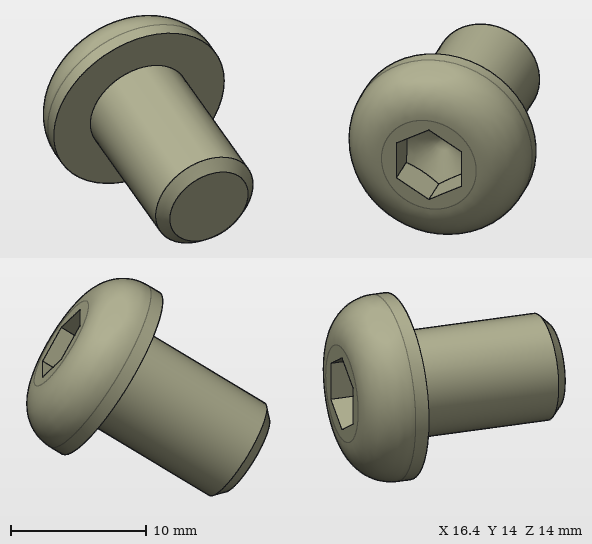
import cadquery as cq
import math

total_length = 16.4
head_diameter = 14.0
head_height = 4.4
head_round_radius = 3.35
shank_diameter = 8.0
tip_chamfer = 0.79

socket_across_flats = 5.0
socket_depth = 2.6
socket_cone_angle = 120.0

head_radius = head_diameter / 2
shank_radius = shank_diameter / 2
socket_corner_radius = socket_across_flats / math.sqrt(3)


def make_body():
    """Revolve the head and the shank about the X axis."""
    arc_offset = head_round_radius * math.sqrt(0.5)
    arc_middle = (
        head_round_radius - arc_offset,
        head_radius - head_round_radius + arc_offset,
    )
    profile = (
        cq.Workplane("XY")
        .lineTo(0, head_radius - head_round_radius)
        .threePointArc(arc_middle, (head_round_radius, head_radius))
        .lineTo(head_height, head_radius)
        .lineTo(head_height, shank_radius)
        .lineTo(total_length - tip_chamfer, shank_radius)
        .lineTo(total_length, shank_radius - tip_chamfer)
        .lineTo(total_length, 0)
        .close()
    )
    return profile.revolve(360, (0, 0, 0), (1, 0, 0))


def make_socket():
    """Hexagonal prism with corners on +Z and -Z, ended by a cone that cuts its corners."""
    cone_depth = socket_corner_radius / math.tan(math.radians(socket_cone_angle / 2))
    prism = (
        cq.Workplane("YZ")
        .transformed(rotate=(0, 0, 90))
        .polygon(6, 2 * socket_corner_radius)
        .extrude(socket_depth + cone_depth)
    )
    pointed_cylinder = (
        cq.Workplane("XY")
        .lineTo(0, socket_corner_radius)
        .lineTo(socket_depth, socket_corner_radius)
        .lineTo(socket_depth + cone_depth, 0)
        .close()
        .revolve(360, (0, 0, 0), (1, 0, 0))
    )
    return prism.intersect(pointed_cylinder)


result = make_body().cut(make_socket())